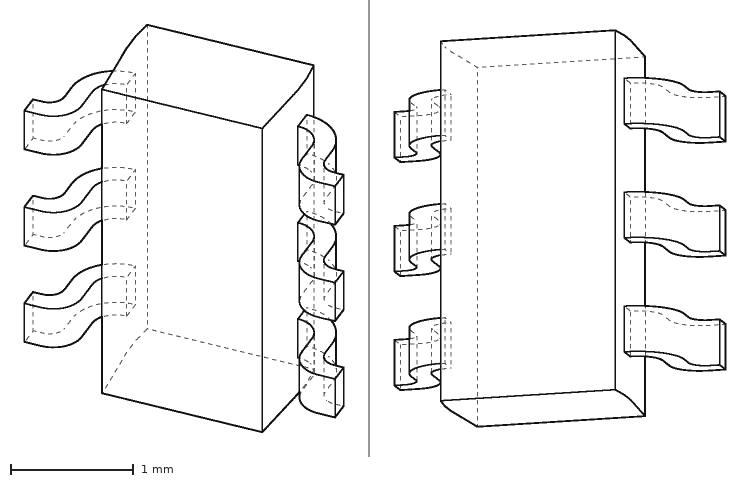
import cadquery as cq

total_width = 2.75
total_depth = 1.05
body_height = 3.0
body_depth = 1.0
back_width = 1.475
middle_width = 1.518
front_width = 1.42

lead_thickness = 0.18
lead_width = 0.38
lead_pitch = 0.95
leads_per_side = 3
lead_back_depth = 0.198
foot_length = 0.222
shoulder_inner_radius = 0.21
ankle_inner_radius = 0.135
ankle_outer_radius = 0.252
root_embedding = 0.09

back_y = total_depth / 2
sole_y = -total_depth / 2
front_y = back_y - body_depth
lead_back_y = back_y - lead_back_depth
lead_front_y = lead_back_y - lead_thickness


def make_body():
    """Extrude the body outline, tapered on both sides of the lead band."""
    right_side = [
        (front_width / 2, front_y),
        (middle_width / 2, lead_front_y),
        (middle_width / 2, lead_back_y),
        (back_width / 2, back_y),
    ]
    left_side = [(-x, y) for x, y in reversed(right_side)]
    outline = cq.Workplane("XY").polyline(right_side + left_side).close()
    return outline.extrude(body_height / 2, both=True)


def make_lead():
    """Extrude the bent outline of a +X lead, running from the body to the foot tip and back."""
    tip_x = total_width / 2
    outer_x = tip_x - foot_length
    inner_x = outer_x - lead_thickness
    root_x = middle_width / 2 - root_embedding
    foot_top_y = sole_y + lead_thickness
    shoulder_outer_radius = shoulder_inner_radius + lead_thickness
    shoulder_x = outer_x - shoulder_outer_radius
    shoulder_y = lead_back_y - shoulder_outer_radius

    outline = (
        cq.Workplane("XY")
        .moveTo(root_x, lead_back_y)
        .lineTo(shoulder_x, lead_back_y)
        .tangentArcPoint((outer_x, shoulder_y), relative=False)
        .lineTo(outer_x, foot_top_y + ankle_inner_radius)
        .tangentArcPoint((outer_x + ankle_inner_radius, foot_top_y), relative=False)
        .lineTo(tip_x, foot_top_y)
        .lineTo(tip_x, sole_y)
        .lineTo(inner_x + ankle_outer_radius, sole_y)
        .tangentArcPoint((inner_x, sole_y + ankle_outer_radius), relative=False)
        .lineTo(inner_x, shoulder_y)
        .tangentArcPoint((shoulder_x, lead_front_y), relative=False)
        .lineTo(root_x, lead_front_y)
        .close()
    )
    return outline.extrude(lead_width / 2, both=True)


result = make_body()
right_lead = make_lead()
left_lead = right_lead.mirror("YZ")
for index in range(leads_per_side):
    lead_z = (index - (leads_per_side - 1) / 2) * lead_pitch
    for lead in (right_lead, left_lead):
        result = result.union(lead.translate((0, 0, lead_z)))